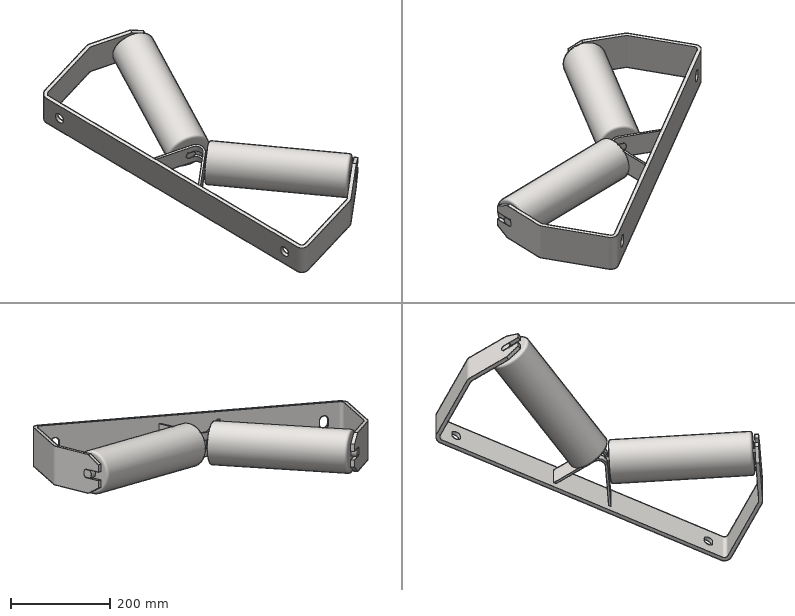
import cadquery as cq
import math

TILT = math.radians(30)
COS_TILT = math.cos(TILT)
SIN_TILT = math.sin(TILT)

FRAME_LENGTH = 660.0
FRAME_HEIGHT = 81.0
FRAME_THICKNESS = 8.0
BEND_RADIUS = 16.0
SIDE_TOP = 155.0
ARM_LENGTH = 117.5
ARM_CORNER_LENGTH = 28.5
ARM_CORNER_HEIGHT = 16.5
HALF_LENGTH = FRAME_LENGTH / 2

MOUNT_SPACING = 565.0
MOUNT_WIDTH = 18.5
MOUNT_HEIGHT = 27.0

BRACKET_THICKNESS = 4.5
BRACKET_HEIGHT = 50.0
BRACKET_RADIUS = 19.0
BRACKET_TOP = 99.5

ROLLER_DIAMETER = 89.0
ROLLER_LENGTH = 290.0
ROLLER_EDGE_RADIUS = 5.0
ROLLER_X = 148.0
ROLLER_Y = 160.5
SHAFT_DIAMETER = 20.5
SHAFT_FLAT_WIDTH = 16.0

SLOT_WIDTH = 18.0

AXIS = (COS_TILT, SIN_TILT)
ARM = (-SIN_TILT, COS_TILT)


def along(point, direction, distance):
    """Move a point in the XY plane by a distance along a unit vector."""
    return (point[0] + direction[0] * distance, point[1] + direction[1] * distance)


def slab(outline, height):
    """Extrude an XY outline symmetrically about the Z = 0 plane."""
    return outline.close().extrude(height / 2, both=True)


def mirrored(point):
    """Reflect a point across the center plane X = 0."""
    return (-point[0], point[1])


CORNER_CENTER = (HALF_LENGTH - BEND_RADIUS, BEND_RADIUS)
ARM_BEND_CENTER = (HALF_LENGTH - BEND_RADIUS, SIDE_TOP)
ARM_START = along(ARM_BEND_CENTER, AXIS, BEND_RADIUS)
ARM_TIP = along(ARM_START, ARM, ARM_LENGTH)

BRACKET_CENTER = (0, BRACKET_TOP - BRACKET_RADIUS)
ROLLER_MIDDLE = (ROLLER_X, ROLLER_Y)


def axial_distance(point):
    """Distance of a point from the roller middle, measured along the roller axis."""
    return (point[0] - ROLLER_X) * AXIS[0] + (point[1] - ROLLER_Y) * AXIS[1]


SHAFT_OUTER_END = axial_distance(ARM_START)
SHAFT_INNER_END = axial_distance(BRACKET_CENTER) + BRACKET_RADIUS - BRACKET_THICKNESS


def roller_plane(distance):
    """Plane across the right roller; local X runs up the arm and local Y is Z."""
    origin = along(ROLLER_MIDDLE, AXIS, distance)
    return cq.Plane(origin=(*origin, 0), xDir=(*ARM, 0), normal=(*AXIS, 0))


def both_sides(right_tool):
    """Join a right-hand cutter with its mirror image."""
    return right_tool.union(right_tool.mirror("YZ"))


def bent_strip_outline(offset):
    """Right half of the frame outline at a given depth below the outer face."""
    radius = BEND_RADIUS - offset
    corner_mid = (math.sqrt(0.5), -math.sqrt(0.5))
    bend_mid = (math.cos(TILT / 2), math.sin(TILT / 2))
    return {
        "base": along(CORNER_CENTER, (0, -1), radius),
        "corner_mid": along(CORNER_CENTER, corner_mid, radius),
        "side_bottom": along(CORNER_CENTER, (1, 0), radius),
        "side_top": along(ARM_BEND_CENTER, (1, 0), radius),
        "bend_mid": along(ARM_BEND_CENTER, bend_mid, radius),
        "arm_start": along(ARM_BEND_CENTER, AXIS, radius),
        "arm_tip": along(ARM_TIP, AXIS, -offset),
    }


def make_frame_strip():
    outer = bent_strip_outline(0)
    inner = bent_strip_outline(FRAME_THICKNESS)
    half = (
        cq.Workplane("XY")
        .moveTo(0, 0)
        .lineTo(*outer["base"])
        .threePointArc(outer["corner_mid"], outer["side_bottom"])
        .lineTo(*outer["side_top"])
        .threePointArc(outer["bend_mid"], outer["arm_start"])
        .lineTo(*outer["arm_tip"])
        .lineTo(*inner["arm_tip"])
        .lineTo(*inner["arm_start"])
        .threePointArc(inner["bend_mid"], inner["side_top"])
        .lineTo(*inner["side_bottom"])
        .threePointArc(inner["corner_mid"], inner["base"])
        .lineTo(0, FRAME_THICKNESS)
    )
    return both_sides(slab(half, FRAME_HEIGHT))


def arm_corner_cutter():
    """Triangular cuts at the two corners of the right arm tip."""
    tip_plane = cq.Plane(origin=(*ARM_TIP, 0), xDir=(*ARM, 0), normal=(*AXIS, 0))
    upper = (
        cq.Workplane(tip_plane)
        .moveTo(-ARM_CORNER_LENGTH, FRAME_HEIGHT / 2)
        .lineTo(0, FRAME_HEIGHT / 2)
        .lineTo(0, FRAME_HEIGHT / 2 - ARM_CORNER_HEIGHT)
        .close()
        .extrude(-FRAME_THICKNESS)
    )
    return upper.union(upper.mirror("XY"))


def shaft_slot_cutter(start, depth, length):
    """Slot running up from a round lower end that carries the shaft."""
    shaft_radius = SHAFT_DIAMETER / 2
    half_width = SLOT_WIDTH / 2
    arc_start = -math.sqrt(shaft_radius**2 - half_width**2)
    return (
        cq.Workplane(roller_plane(start))
        .moveTo(length, half_width)
        .lineTo(arc_start, half_width)
        .threePointArc((-shaft_radius, 0), (arc_start, -half_width))
        .lineTo(length, -half_width)
        .close()
        .extrude(depth)
    )


def make_frame():
    mount_slots = (
        cq.Workplane("XZ")
        .pushPoints([(-MOUNT_SPACING / 2, 0), (MOUNT_SPACING / 2, 0)])
        .slot2D(MOUNT_HEIGHT, MOUNT_WIDTH, 90)
        .extrude(-FRAME_THICKNESS)
    )
    arm_slot = shaft_slot_cutter(SHAFT_OUTER_END, -FRAME_THICKNESS, ARM_LENGTH)
    return (
        make_frame_strip()
        .cut(both_sides(arm_corner_cutter()))
        .cut(both_sides(arm_slot))
        .cut(mount_slots)
    )


def bracket_leg_foot(leg_start):
    """Point where a line down the right leg meets the frame base."""
    drop = (leg_start[1] - FRAME_THICKNESS) / COS_TILT
    return along(leg_start, ARM, -drop)


def make_bracket():
    inner_radius = BRACKET_RADIUS - BRACKET_THICKNESS
    outer_start = along(BRACKET_CENTER, AXIS, BRACKET_RADIUS)
    inner_start = along(BRACKET_CENTER, AXIS, inner_radius)
    outer_foot = bracket_leg_foot(outer_start)
    inner_foot = bracket_leg_foot(inner_start)
    outline = (
        cq.Workplane("XY")
        .moveTo(*mirrored(outer_foot))
        .lineTo(*mirrored(outer_start))
        .threePointArc((0, BRACKET_TOP), outer_start)
        .lineTo(*outer_foot)
        .lineTo(*inner_foot)
        .lineTo(*inner_start)
        .threePointArc((0, BRACKET_TOP - BRACKET_THICKNESS), mirrored(inner_start))
        .lineTo(*mirrored(inner_foot))
    )
    leg_slot = shaft_slot_cutter(SHAFT_INNER_END - BRACKET_RADIUS, 2 * BRACKET_RADIUS, BRACKET_TOP)
    return slab(outline, BRACKET_HEIGHT).cut(both_sides(leg_slot))


def make_right_roller():
    shell = (
        cq.Workplane(roller_plane(-ROLLER_LENGTH / 2))
        .circle(ROLLER_DIAMETER / 2)
        .extrude(ROLLER_LENGTH)
        .edges()
        .fillet(ROLLER_EDGE_RADIUS)
    )
    shaft_length = SHAFT_OUTER_END - SHAFT_INNER_END
    flats = cq.Workplane(roller_plane(SHAFT_INNER_END)).rect(SHAFT_DIAMETER, SHAFT_FLAT_WIDTH)
    shaft = (
        cq.Workplane(roller_plane(SHAFT_INNER_END))
        .circle(SHAFT_DIAMETER / 2)
        .extrude(shaft_length)
        .intersect(flats.extrude(shaft_length))
    )
    return shell.union(shaft)


frame = make_frame()
bracket = make_bracket()
right_roller = make_right_roller()
rollers = [right_roller.val(), right_roller.mirror("YZ").val()]

result = cq.Compound.makeCompound([frame.val(), bracket.val(), *rollers])